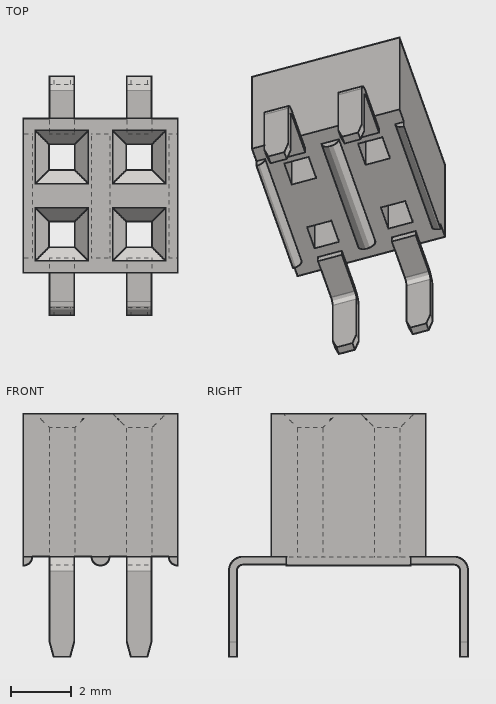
import cadquery as cq

pitch = 2.54
columns = 2
rows = 2
overall_depth = 7.87
overall_height = 8.0

housing_width = columns * pitch
housing_depth = rows * pitch
housing_height = 4.7

opening_size = 0.84
lead_in_size = 1.75
lead_in_depth = 0.45

rib_radius = 0.3
rib_end_setback = 0.5
rib_length = housing_depth - 2 * rib_end_setback

pin_width = 0.82
pin_thickness = 0.27
pin_inner_radius = 0.2
pin_outer_radius = pin_inner_radius + pin_thickness
pin_drop = overall_height - housing_height
pin_start = rib_length / 2
pin_reach = overall_depth / 2 - pin_start
tip_width = 0.55
tip_height = 0.5


def centered_positions(count):
    """Coordinates of a row of contacts spaced by the pitch about zero."""
    return [(index - (count - 1) / 2) * pitch for index in range(count)]


column_positions = centered_positions(columns)
row_positions = centered_positions(rows)


def make_housing():
    """Plain rectangular block."""
    return cq.Workplane("XY").box(
        housing_width, housing_depth, housing_height, centered=(True, True, False)
    )


def make_opening(x, y):
    """Square through hole topped by a pyramid-shaped lead-in."""
    hole = (
        cq.Workplane("XY")
        .center(x, y)
        .rect(opening_size, opening_size)
        .extrude(housing_height)
    )
    lead_in = (
        cq.Workplane("XY", origin=(x, y, housing_height - lead_in_depth))
        .rect(opening_size, opening_size)
        .workplane(offset=lead_in_depth)
        .rect(lead_in_size, lead_in_size)
        .loft(ruled=True)
    )
    return hole.union(lead_in)


def make_ribs():
    """Ribs between the columns and at both sides, trimmed flush with the housing sides."""
    rib_positions = [index * pitch - housing_width / 2 for index in range(columns + 1)]
    ribs = (
        cq.Workplane("XZ")
        .pushPoints([(x, 0) for x in rib_positions])
        .circle(rib_radius)
        .extrude(rib_length / 2, both=True)
    )
    envelope = cq.Workplane("XY").box(housing_width, housing_depth, 2 * rib_radius)
    return ribs.intersect(envelope)


def make_pin(x):
    """Pin that leaves the +Y side of the housing, bends down and ends in a tapered tip."""
    outer_y = pin_start + pin_reach
    inner_y = outer_y - pin_thickness
    bend_y = outer_y - pin_outer_radius
    strip = (
        cq.Workplane("YZ", origin=(x, 0, 0))
        .moveTo(pin_start, 0)
        .lineTo(bend_y, 0)
        .radiusArc((outer_y, -pin_outer_radius), pin_outer_radius)
        .lineTo(outer_y, -pin_drop)
        .lineTo(inner_y, -pin_drop)
        .lineTo(inner_y, -pin_outer_radius)
        .radiusArc((bend_y, -pin_thickness), -pin_inner_radius)
        .lineTo(pin_start, -pin_thickness)
        .close()
        .extrude(pin_width / 2, both=True)
    )
    shoulder_z = tip_height - pin_drop
    front_outline = (
        cq.Workplane("XZ", origin=(x, 0, 0))
        .polyline([
            (-pin_width / 2, 0),
            (pin_width / 2, 0),
            (pin_width / 2, shoulder_z),
            (tip_width / 2, -pin_drop),
            (-tip_width / 2, -pin_drop),
            (-pin_width / 2, shoulder_z),
        ])
        .close()
        .extrude(-overall_depth)
    )
    return strip.intersect(front_outline)


connector = make_housing().union(make_ribs())

for column_x in column_positions:
    for row_y in row_positions:
        connector = connector.cut(make_opening(column_x, row_y))

for column_x in column_positions:
    back_pin = make_pin(column_x)
    connector = connector.union(back_pin).union(back_pin.mirror("XZ"))

result = connector